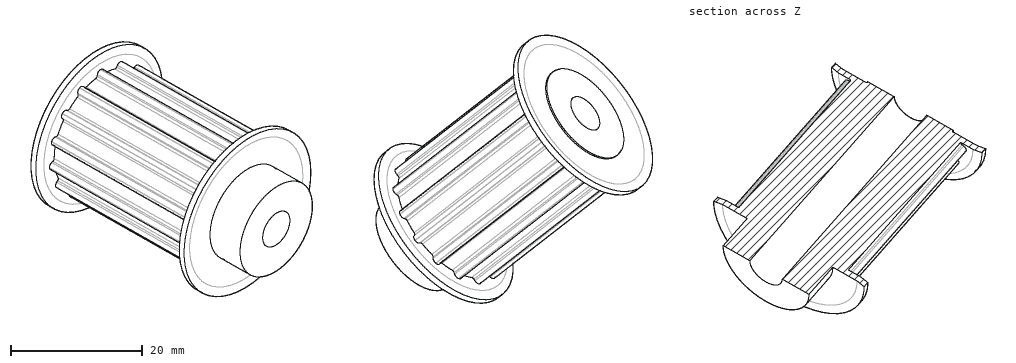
import cadquery as cq
import math

total_length = 38.0
flanged_length = 32.0
flange_radius = 28.0 / 2
dish_radius = 12.5
plate_thickness = 1.03
dish_depth = 0.25
hub_radius = 16.0 / 2
bore_radius = 3.0

tooth_count = 15
tip_radius = 11.32
floor_radius = 10.22
tip_land = 0.05
tip_round = 0.7
root_fillet = 0.38
flank_angle = math.radians(10)


def turned(point, angle):
    """Rotate a (Y, Z) point about the pulley axis."""
    y, z = point
    return (
        y * math.cos(angle) - z * math.sin(angle),
        y * math.sin(angle) + z * math.cos(angle),
    )


def arc_middle(centre, radius, start, end):
    """Middle of the short arc from start to end about a centre."""
    toward = tuple(a + b - 2 * c for a, b, c in zip(start, end, centre))
    reach = radius / math.hypot(*toward)
    return tuple(c + reach * t for c, t in zip(centre, toward))


def tooth_side_points():
    """Outline points of the +Y side of a tooth standing along +Z, from floor to crest.

    The root fillet runs floor - root_middle - root, a straight flank joins root to shoulder,
    and the tip round runs shoulder - tip_middle - crest.
    """
    normal = (math.cos(flank_angle), math.sin(flank_angle))
    along = (-normal[1], normal[0])

    crest_angle = math.asin(tip_land / 2 / tip_radius)
    crest = turned((0, tip_radius), -crest_angle)
    tip_centre = turned((0, tip_radius - tip_round), -crest_angle)
    shoulder = tuple(c + tip_round * n for c, n in zip(tip_centre, normal))
    tip_middle = arc_middle(tip_centre, tip_round, shoulder, crest)

    off_flank = shoulder[0] * normal[0] + shoulder[1] * normal[1] + root_fillet
    off_floor = floor_radius + root_fillet
    slide = math.sqrt(off_floor**2 - off_flank**2)
    root_centre = tuple(off_flank * n + slide * a for n, a in zip(normal, along))
    root = tuple(c - root_fillet * n for c, n in zip(root_centre, normal))
    floor = tuple(c * floor_radius / off_floor for c in root_centre)
    root_middle = arc_middle(root_centre, root_fillet, floor, root)
    return floor, root_middle, root, shoulder, tip_middle, crest


def toothed_drum(start, length):
    right_side = tooth_side_points()
    left_side = [(-y, z) for y, z in right_side]
    tip = (0, tip_radius)
    pitch_angle = 2 * math.pi / tooth_count
    gap_middle = turned((0, floor_radius), pitch_angle / 2)
    next_floor = turned(right_side[0], pitch_angle)

    outline = cq.Workplane("YZ", origin=(start, 0, 0)).moveTo(*right_side[0])
    for index in range(tooth_count):
        angle = index * pitch_angle
        _, root_middle, root, shoulder, tip_middle, crest = [turned(p, angle) for p in right_side]
        outline = outline.threePointArc(root_middle, root)
        outline = outline.lineTo(*shoulder)
        outline = outline.threePointArc(tip_middle, crest)

        floor, root_middle, root, shoulder, tip_middle, crest = [turned(p, angle) for p in left_side]
        outline = outline.threePointArc(turned(tip, angle), crest)
        outline = outline.threePointArc(tip_middle, shoulder)
        outline = outline.lineTo(*root)
        outline = outline.threePointArc(root_middle, floor)
        outline = outline.threePointArc(turned(gap_middle, angle), turned(next_floor, angle))
    return outline.close().extrude(length)


def flange(rim_face, inward):
    """Sheet disc whose rim bends away from the drum; inward is +1 or -1 along X."""
    profile = [
        (dish_depth, 0),
        (dish_depth, dish_radius),
        (0, flange_radius),
        (plate_thickness, flange_radius),
        (plate_thickness + dish_depth, dish_radius),
        (plate_thickness + dish_depth, 0),
    ]
    section = [(rim_face + inward * x, radius) for x, radius in profile]
    return cq.Workplane("XY").polyline(section).close().revolve(360, (0, 0, 0), (1, 0, 0))


def cylinder(radius):
    return cq.Workplane("YZ").circle(radius).extrude(total_length)


drum_start = dish_depth + plate_thickness
drum = toothed_drum(drum_start, flanged_length - 2 * drum_start)
left_flange = flange(0, 1)
right_flange = flange(flanged_length, -1)

pulley = drum.union(left_flange).union(right_flange).union(cylinder(hub_radius))
result = pulley.cut(cylinder(bore_radius))